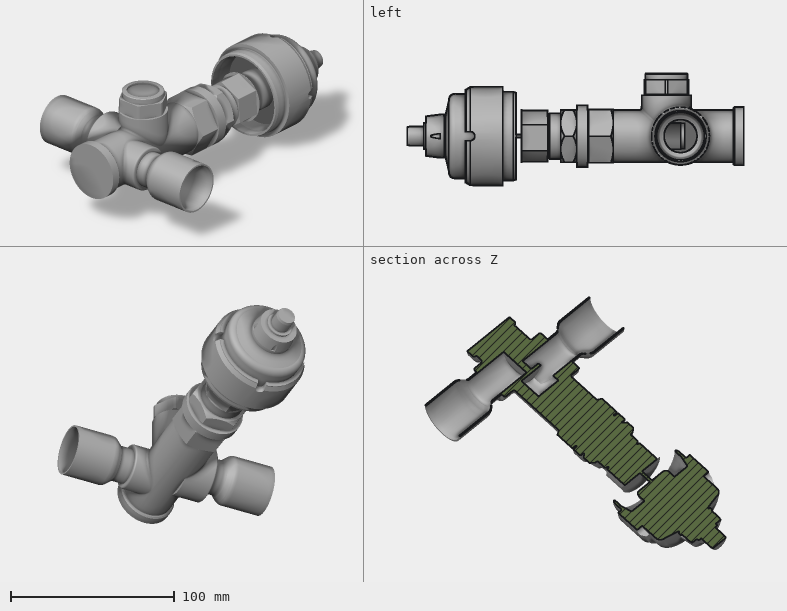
import cadquery as cq
import math


body_radius = 16.0
foot_radius = 17.9
foot_height = 6.4
foot_chamfer = 0.8
body_top = 79.7

body_hex_radius = 19.0
body_hex_corner_drop = 1.5
body_hex_top = 94.7
collar_bottom = 95.4
collar_groove_radius = 16.0
collar_radius = 19.0
collar_top = 102.0
gland_hex_radius = 18.5
gland_hex_top = 111.8
gland_corner_drop = 2.3
neck_radius = 14.0
neck_top = 119.0
neck_chamfer = 0.6
groove_radius = 12.1
top_nut_bottom = 119.8
top_nut_radius = 15.8
top_nut_turn = 26.0
top_nut_top = 135.8
washer_radius = 16.0
washer_thickness = 0.2

cap_bottom = 139.0
cap_lip_radius = 27.1
cap_lip_chamfer = 0.6
cap_lip_chamfer_height = 1.8
cap_lip_round = 0.6
cap_shoulder = 147.1
cap_radius = 30.2
cap_shell_top = 170.2
cap_bevel_lip = 0.6
cap_bevel_bottom = 166.9
cap_bevel_radius = 28.5
dome_radius = 25.9
dome_side_top = 176.3
dome_rim_radius = 21.8
dome_rim = 180.0
dome_top = 182.3
throat_radius = 12.3
throat_top = 182.9
cone_bottom_radius = 13.4
cone_band_top = 185.4
cone_top = 194.0
cone_top_radius = 12.1
cable_collar_radius = 8.0
cable_collar_top = 195.5
cable_radius = 6.0
cable_chamfer = 0.5
overall_length = 205.5
cable_tip_chamfer_height = 1.8

cavity_mouth_radius = 25.3
cavity_floor_radius = 23.5
cavity_straight_top = 144.9
cavity_floor = 152.0
hub_radius = 12.7
hub_bottom = 144.5
hub_round = 2.7
spindle_radius = 1.0
spindle_embed = 2.0

repeat_count = 4
notch_width = 5.5
notch_bottom = 164.2
mark_radius = 2.0
mark_inner_reach = 12.5
mark_length = 8.2

port_span = 126.0
port_half_span = port_span / 2
left_port_y = 38.6
right_port_y = 25.9
left_boss_radius = 17.7
left_boss_inner_x = 5.3
right_boss_radius = 14.0
boss_reach = 23.8
boss_edge_round = 1.0
boss_joint_round = 1.2
tube_radius = 15.6
tube_neck_radius = 11.0
tube_wall = 1.0
tube_embed = 2.0
flare_start = 30.6
flare_cone_start = 32.7
flare_cone_end = 35.3
flare_end = 38.6
port_floor_x = 2.0
main_bore_radius = 8.2
seat_bottom = 36.2
seat_radius = 8.0
main_bore_bottom = 38.5
main_bore_top = 53.5

service_y = 47.3
service_boss_radius = 15.2
service_boss_top = 25.0
service_neck_radius = 13.2
service_hex_bottom = 25.7
service_hex_top = 34.3
service_hex_flats = 27.1
service_hex_corner_radius = 15.2
service_cap_radius = 13.0
service_cap_chamfer = 0.5
service_top = 38.2
service_recess_radius = 10.0
service_recess_depth = 1.5


def disc(radius, bottom, top):
    """Cylinder on the valve axis between two heights."""
    return cq.Workplane("XZ", origin=(0, bottom, 0)).circle(radius).extrude(bottom - top)


def chamfered_hex(radius, bottom, top, bottom_drop, top_drop, turn=0.0):
    """Hexagon on the valve axis whose corners are turned down to the flats at chosen ends."""
    hexagon = (
        cq.Workplane("XZ", origin=(0, bottom, 0))
        .polygon(6, 2 * radius)
        .extrude(bottom - top)
        .rotate((0, 0, 0), (0, 1, 0), turn)
    )
    flat_radius = radius * math.cos(math.pi / 6)
    bottom_radius = flat_radius if bottom_drop else radius
    top_radius = flat_radius if top_drop else radius
    envelope = cq.Workplane("XY").moveTo(0, bottom).lineTo(bottom_radius, bottom)
    if bottom_drop:
        envelope = envelope.lineTo(radius, bottom + bottom_drop)
    if top_drop:
        envelope = envelope.lineTo(radius, top - top_drop)
    envelope = envelope.lineTo(top_radius, top).lineTo(0, top).close()
    return hexagon.intersect(envelope.revolve(360, (0, 0, 0), (0, 1, 0)))


def x_cylinder(radius, y, start, end):
    """Cylinder parallel to X at height y."""
    return cq.Workplane("YZ", origin=(start, 0, 0)).center(y, 0).circle(radius).extrude(end - start)


def flared_tube(y, side, inset, start):
    """Solid of a tube that flares outwards along X; the inset shrinks every radius."""
    neck = tube_neck_radius - inset
    wide = tube_radius - inset
    rise = (wide - neck) / 4
    profile = (
        cq.Workplane("XY")
        .moveTo(start, 0)
        .lineTo(start, neck)
        .lineTo(flare_start, neck)
        .tangentArcPoint((flare_cone_start, neck + rise), relative=False)
        .lineTo(flare_cone_end, wide - rise)
        .tangentArcPoint((flare_end, wide), relative=False)
        .lineTo(port_half_span, wide)
        .lineTo(port_half_span, 0)
        .close()
    )
    tube = profile.revolve(360, (0, 0, 0), (1, 0, 0))
    if side < 0:
        tube = tube.mirror("YZ")
    return tube.translate((0, y, 0))


def make_body():
    """Barrel with its foot, the two side bosses and the service boss."""
    body = disc(body_radius, 0, body_top)
    body = body.union(disc(foot_radius, 0, foot_height).faces(">Y").edges().chamfer(foot_chamfer))
    left_boss = x_cylinder(left_boss_radius, left_port_y, -boss_reach, -left_boss_inner_x)
    left_boss = left_boss.faces("<X").edges().fillet(boss_edge_round)
    right_boss = x_cylinder(right_boss_radius, right_port_y, 0, boss_reach)
    right_boss = right_boss.faces(">X").edges().fillet(boss_edge_round)
    service_boss = (
        cq.Workplane("XY").center(0, service_y).circle(service_boss_radius).extrude(service_boss_top)
    )
    body = body.union(left_boss).union(right_boss).union(service_boss)
    joints = [edge for edge in body.edges().vals() if edge.geomType() == "BSPLINE"]
    return body.newObject(joints).fillet(boss_joint_round)


def make_service_cap():
    """Hexagon cap on the service port, with a shallow round recess in its top."""
    base = cq.Workplane("XY").center(0, service_y)
    neck = base.circle(service_neck_radius).extrude(service_hex_top)
    hexagon = (
        base.workplane(offset=service_hex_bottom)
        .polygon(6, service_hex_flats / math.cos(math.pi / 6))
        .extrude(service_hex_top - service_hex_bottom)
        .intersect(base.circle(service_hex_corner_radius).extrude(service_top))
    )
    cap = base.circle(service_cap_radius).extrude(service_top)
    cap = cap.faces(">Z").edges().chamfer(service_cap_chamfer)
    recess = (
        base.workplane(offset=service_top - service_recess_depth)
        .circle(service_recess_radius)
        .extrude(service_recess_depth)
    )
    return neck.union(hexagon).union(cap).cut(recess)


def make_nuts():
    """Hexagons, collar and necks between the body and the actuator."""
    stack = chamfered_hex(body_hex_radius, body_top, body_hex_top, body_hex_corner_drop, 0)
    stack = stack.union(disc(collar_groove_radius, body_hex_top, collar_bottom))
    stack = stack.union(disc(collar_radius, collar_bottom, collar_top))
    gland_nut = chamfered_hex(
        gland_hex_radius, collar_top, gland_hex_top, gland_corner_drop, gland_corner_drop
    )
    stack = stack.union(gland_nut)
    neck = disc(neck_radius, gland_hex_top, neck_top).faces(">Y").edges().chamfer(neck_chamfer)
    stack = stack.union(neck)
    stack = stack.union(disc(groove_radius, neck_top, top_nut_bottom))
    stack = stack.union(chamfered_hex(top_nut_radius, top_nut_bottom, top_nut_top, 0, 0, top_nut_turn))
    return stack.union(disc(washer_radius, top_nut_top - washer_thickness, top_nut_top))


def make_cap_shell():
    """Turned outside of the actuator, from the open lip to the cable end."""
    profile = (
        cq.Workplane("XY")
        .moveTo(0, cap_bottom)
        .lineTo(cap_lip_radius - cap_lip_chamfer, cap_bottom)
        .lineTo(cap_lip_radius, cap_bottom + cap_lip_chamfer_height)
        .lineTo(cap_lip_radius, cap_shoulder - cap_lip_round)
        .radiusArc((cap_lip_radius + cap_lip_round, cap_shoulder), cap_lip_round)
        .lineTo(cap_radius, cap_shoulder)
        .lineTo(cap_radius, cap_bevel_bottom)
        .lineTo(cap_bevel_radius, cap_shell_top - cap_bevel_lip)
        .lineTo(cap_bevel_radius, cap_shell_top)
        .lineTo(dome_radius, cap_shell_top)
        .lineTo(dome_radius, dome_side_top)
        .tangentArcPoint((dome_rim_radius, dome_rim), relative=False)
        .lineTo(throat_radius, dome_top)
        .lineTo(throat_radius, throat_top)
        .lineTo(cone_bottom_radius, throat_top)
        .lineTo(cone_bottom_radius, cone_band_top)
        .lineTo(cone_top_radius, cone_top)
        .lineTo(cable_collar_radius, cone_top)
        .lineTo(cable_collar_radius, cable_collar_top)
        .lineTo(cable_radius, cable_collar_top)
        .lineTo(cable_radius, overall_length - cable_tip_chamfer_height)
        .lineTo(cable_radius - cable_chamfer, overall_length)
        .lineTo(0, overall_length)
        .close()
    )
    return profile.revolve(360, (0, 0, 0), (0, 1, 0))


def make_cavity():
    """Hollow underside of the actuator, narrowing towards its floor."""
    profile = (
        cq.Workplane("XY")
        .moveTo(0, cap_bottom)
        .lineTo(cavity_mouth_radius, cap_bottom)
        .lineTo(cavity_mouth_radius, cavity_straight_top)
        .lineTo(cavity_floor_radius, cavity_floor)
        .lineTo(0, cavity_floor)
        .close()
    )
    return profile.revolve(360, (0, 0, 0), (0, 1, 0))


def make_cap():
    """Hollow actuator with its hub, rim notches and cone marks."""
    hub = disc(hub_radius, hub_bottom, cavity_floor).faces("<Y").edges().fillet(hub_round)
    notch_end = notch_bottom + notch_width / 2
    notch_tool = (
        cq.Workplane("XY")
        .moveTo(-notch_width / 2, cap_shell_top)
        .lineTo(-notch_width / 2, notch_end)
        .threePointArc((0, notch_bottom), (notch_width / 2, notch_end))
        .lineTo(notch_width / 2, cap_shell_top)
        .close()
        .extrude(cap_radius)
        .cut(disc(dome_radius, notch_bottom, cap_shell_top))
    )
    mark_tool = disc(mark_radius, cone_band_top, cone_band_top + mark_length)
    mark_tool = mark_tool.translate((0, 0, mark_inner_reach + mark_radius))
    cap = make_cap_shell().cut(make_cavity()).union(hub)
    for index in range(repeat_count):
        turn = index * 360 / repeat_count
        for tool in (notch_tool, mark_tool):
            cap = cap.cut(tool.rotate((0, 0, 0), (0, 1, 0), turn))
    return cap


valve = make_body().union(make_nuts()).union(make_service_cap())

spindle = disc(spindle_radius, top_nut_top - spindle_embed, hub_bottom + spindle_embed)
valve = valve.union(spindle).union(make_cap())

for side, port_y in ((-1, left_port_y), (1, right_port_y)):
    valve = valve.union(flared_tube(port_y, side, 0, boss_reach - tube_embed))
    valve = valve.cut(flared_tube(port_y, side, tube_wall, port_floor_x))

valve = valve.cut(disc(main_bore_radius, main_bore_bottom, main_bore_top))
result = valve.union(disc(seat_radius, seat_bottom, main_bore_bottom))